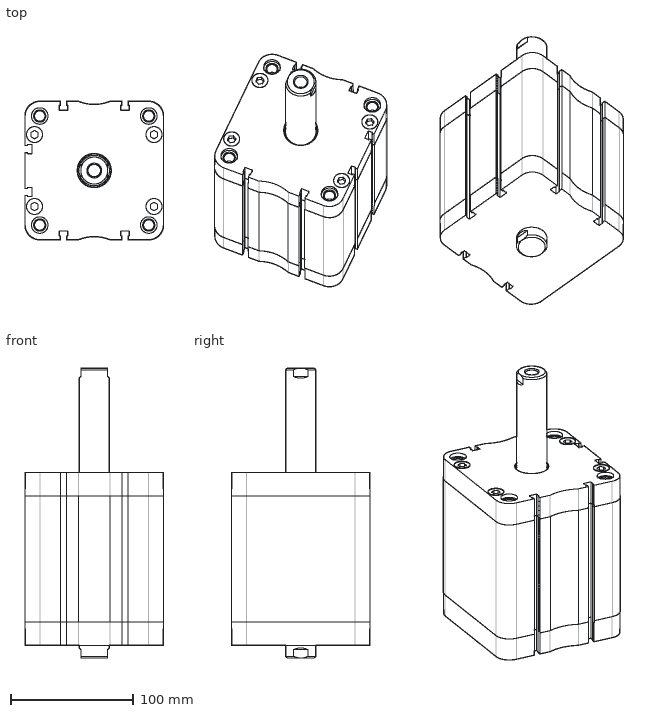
import cadquery as cq
import math

TOTAL_LENGTH = 237.0
HOUSING_WIDTH = 113.5
HOUSING_HEIGHT = 141.3
CAP_HEIGHT = 19.2
CAP_INSET = 0.12
CAP_DRAFT = 0.5
CORNER_RADIUS = 12.3
BARREL_HEIGHT = HOUSING_HEIGHT - 2 * CAP_HEIGHT
CAP_SEAT = HOUSING_HEIGHT - CAP_HEIGHT

DEEP_SLOT_OFFSET = 25.1
DEEP_SLOT_NECK = 5.2
DEEP_SLOT_WIDTH = 6.6
DEEP_SLOT_DEPTH = 7.3
DEEP_SLOT_LIP = 3.3
SIDE_SLOT_OFFSET = 17.5
SIDE_SLOT_NECK = 5.7
SIDE_SLOT_WIDTH = 7.3
SIDE_SLOT_DEPTH = 5.7
SIDE_SLOT_LIP = 2.1
HOLLOW_WIDTH = 26.0
HOLLOW_DEPTH = 2.5

SCREW_X = 48.8
SCREW_Y = 29.5
SCREW_HEAD_DIAMETER = 13.0
SCREW_SINK = 0.5
SCREW_HEAD_HEIGHT = 7.5
SCREW_RECESS_DEPTH = SCREW_HEAD_HEIGHT + SCREW_SINK
SCREW_SHANK_DIAMETER = 8.3
SCREW_THREAD_DEPTH = 10.0
HEX_ACROSS_FLATS = 6.0
HEX_DEPTH = 4.0

MOUNT_OFFSET = 44.5
MOUNT_RECESS_DIAMETER = 13.5
MOUNT_RECESS_DEPTH = 3.0
MOUNT_HOLE_DIAMETER = 8.5
MOUNT_CHAMFER_DIAMETER = 10.0
MOUNT_HOLE_DEPTH = 14.2

ROD_DIAMETER = 25.0
ROD_BELOW = 10.5
ROD_CHAMFER = 1.5
FLATS_WIDTH = 22.0
FLATS_LENGTH = 6.9
ROD_HOLE_DIAMETER = 10.2
ROD_HOLE_CHAMFER_DIAMETER = 12.0
ROD_HOLE_DEPTH = 19.0
DRILL_POINT_ANGLE = 118.0
ROD_RECESS_DIAMETER = 27.0
ROD_RECESS_MOUTH = 28.0
ROD_RECESS_DEPTH = 2.4


def corner_points(x, y):
    return [(sx * x, sy * y) for sx in (-1, 1) for sy in (-1, 1)]


def t_slot(neck, width, depth, lip, height):
    """Cutter for a T-slot that opens toward -Y on the plane Y = 0 and runs along Z."""
    overlap = 2.4
    neck_bar = cq.Workplane("XY").box(neck, depth + overlap, height, centered=(True, False, False))
    wide_bar = cq.Workplane("XY").box(width, depth - lip, height, centered=(True, False, False))
    return neck_bar.translate((0, -overlap, 0)).union(wide_bar.translate((0, lip, 0)))


def profile_block(width, height, draft=0):
    """Rounded square block on Z = 0 with T-slots and hollows, its sides leaning in by the draft."""
    half = width / 2
    outline = cq.Sketch().rect(width, width).vertices().fillet(CORNER_RADIUS)
    block = cq.Workplane("XY").placeSketch(outline).extrude(height, taper=draft)

    deep_slot = t_slot(DEEP_SLOT_NECK, DEEP_SLOT_WIDTH, DEEP_SLOT_DEPTH, DEEP_SLOT_LIP, height)
    hollow_radius = ((HOLLOW_WIDTH / 2) ** 2 + HOLLOW_DEPTH**2) / (2 * HOLLOW_DEPTH)
    hollow = cq.Workplane("XY").circle(hollow_radius).extrude(height, taper=-draft)
    hollow = hollow.translate((0, HOLLOW_DEPTH - hollow_radius - half, 0))
    for turn in (0, 180):
        block = block.cut(hollow.rotate((0, 0, 0), (0, 0, 1), turn))
        for side in (-1, 1):
            slot = deep_slot.translate((side * DEEP_SLOT_OFFSET, -half, 0))
            block = block.cut(slot.rotate((0, 0, 0), (0, 0, 1), turn))

    side_slot = t_slot(SIDE_SLOT_NECK, SIDE_SLOT_WIDTH, SIDE_SLOT_DEPTH, SIDE_SLOT_LIP, height)
    side_slot = side_slot.rotate((0, 0, 0), (0, 0, 1), -90)
    for side in (-1, 1):
        block = block.cut(side_slot.translate((-half, side * SIDE_SLOT_OFFSET, 0)))
    return block


def cap_block():
    """Plain end cap standing on Z = 0 with its wide side down."""
    return profile_block(HOUSING_WIDTH - 2 * CAP_INSET, CAP_HEIGHT, CAP_DRAFT)


def chamfered_hole(diameter, chamfer_diameter, depth):
    """Cutter for a blind hole whose mouth lies on Z = 0, with a 45 degree chamfer."""
    radius = diameter / 2
    mouth = chamfer_diameter / 2
    outline = [(0, 0), (mouth, 0), (radius, radius - mouth), (radius, -depth), (0, -depth)]
    return cq.Workplane("XZ").polyline(outline).close().revolve(360, (0, 0, 0), (0, 1, 0))


def make_housing():
    """Barrel with its lower end cap, bored for the rod and the four screws."""
    barrel = profile_block(HOUSING_WIDTH, BARREL_HEIGHT).translate((0, 0, CAP_HEIGHT))
    bottom_cap = cap_block().mirror("XY").translate((0, 0, CAP_HEIGHT))
    housing = bottom_cap.union(barrel)
    rod_bore = cq.Workplane("XY").circle(ROD_DIAMETER / 2).extrude(CAP_SEAT)
    thread_holes = (
        cq.Workplane("XY", origin=(0, 0, CAP_SEAT))
        .pushPoints(corner_points(SCREW_X, SCREW_Y))
        .circle(SCREW_SHANK_DIAMETER / 2)
        .extrude(-SCREW_THREAD_DEPTH)
    )
    return housing.cut(rod_bore).cut(thread_holes)


def make_top_cap():
    """Upper end cap with rod opening, screw counterbores and corner mounting holes."""
    cap = cap_block().translate((0, 0, CAP_SEAT))
    rod_bore = cq.Workplane("XY", origin=(0, 0, CAP_SEAT)).circle(ROD_DIAMETER / 2).extrude(CAP_HEIGHT)
    rod_recess = chamfered_hole(ROD_RECESS_DIAMETER, ROD_RECESS_MOUTH, ROD_RECESS_DEPTH)
    cap = cap.cut(rod_bore).cut(rod_recess.translate((0, 0, HOUSING_HEIGHT)))
    cap = (
        cap.faces(">Z")
        .workplane(origin=(0, 0, HOUSING_HEIGHT))
        .pushPoints(corner_points(SCREW_X, SCREW_Y))
        .cboreHole(SCREW_SHANK_DIAMETER, SCREW_HEAD_DIAMETER, SCREW_RECESS_DEPTH)
    )
    cap = (
        cap.faces(">Z")
        .workplane(origin=(0, 0, HOUSING_HEIGHT))
        .pushPoints(corner_points(MOUNT_OFFSET, MOUNT_OFFSET))
        .circle(MOUNT_RECESS_DIAMETER / 2)
        .cutBlind(-MOUNT_RECESS_DEPTH)
    )
    mount_hole = chamfered_hole(MOUNT_HOLE_DIAMETER, MOUNT_CHAMFER_DIAMETER, MOUNT_HOLE_DEPTH)
    for x, y in corner_points(MOUNT_OFFSET, MOUNT_OFFSET):
        cap = cap.cut(mount_hole.translate((x, y, HOUSING_HEIGHT - MOUNT_RECESS_DEPTH)))
    return cap


def make_screw(x, y):
    """Socket head screw, its head filling the recess just below the cap face."""
    shank_length = CAP_HEIGHT - SCREW_RECESS_DEPTH + SCREW_THREAD_DEPTH
    head_seat = HOUSING_HEIGHT - SCREW_RECESS_DEPTH
    seat = cq.Workplane("XY", origin=(x, y, head_seat))
    head = seat.circle(SCREW_HEAD_DIAMETER / 2).extrude(SCREW_HEAD_HEIGHT)
    shank = seat.circle(SCREW_SHANK_DIAMETER / 2).extrude(-shank_length)
    across_corners = HEX_ACROSS_FLATS / math.cos(math.pi / 6)
    socket = cq.Workplane("XY").polygon(6, across_corners).extrude(-HEX_DEPTH)
    socket = socket.rotate((0, 0, 0), (0, 0, 1), 30).translate((x, y, HOUSING_HEIGHT - SCREW_SINK))
    return head.union(shank).cut(socket)


def rod_flat():
    """Cutter for one wrench flat on the +X side of a rod end at Z = 0, rod pointing up."""
    flat = FLATS_WIDTH / 2
    outside = ROD_DIAMETER
    outline = [(flat, 0), (outside, 0), (outside, flat - outside - FLATS_LENGTH), (flat, -FLATS_LENGTH)]
    return cq.Workplane("XZ").polyline(outline).close().extrude(outside, both=True)


def make_rod():
    """Through rod with chamfered ends, two wrench flats per end and a threaded hole on top."""
    bottom = -ROD_BELOW
    top = TOTAL_LENGTH - ROD_BELOW
    rod = cq.Workplane("XY", origin=(0, 0, bottom)).circle(ROD_DIAMETER / 2).extrude(TOTAL_LENGTH)
    rod = rod.faces("<Z or >Z").chamfer(ROD_CHAMFER)
    top_flat = rod_flat().translate((0, 0, top))
    bottom_flat = rod_flat().mirror("XY").translate((0, 0, bottom))
    for flat in (top_flat, bottom_flat):
        rod = rod.cut(flat).cut(flat.mirror("YZ"))

    hole = chamfered_hole(ROD_HOLE_DIAMETER, ROD_HOLE_CHAMFER_DIAMETER, ROD_HOLE_DEPTH)
    hole_radius = ROD_HOLE_DIAMETER / 2
    point_depth = hole_radius / math.tan(math.radians(DRILL_POINT_ANGLE / 2))
    drill_point = cq.Solid.makeCone(
        hole_radius, 0, point_depth, cq.Vector(0, 0, -ROD_HOLE_DEPTH), cq.Vector(0, 0, -1)
    )
    hole = hole.union(cq.Workplane(drill_point))
    return rod.cut(hole.translate((0, 0, top)))


housing = make_housing()
top_cap = make_top_cap()
rod = make_rod()
screws = [make_screw(x, y) for x, y in corner_points(SCREW_X, SCREW_Y)]

result = cq.Compound.makeCompound(
    [housing.val(), top_cap.val(), rod.val(), *[screw.val() for screw in screws]]
)